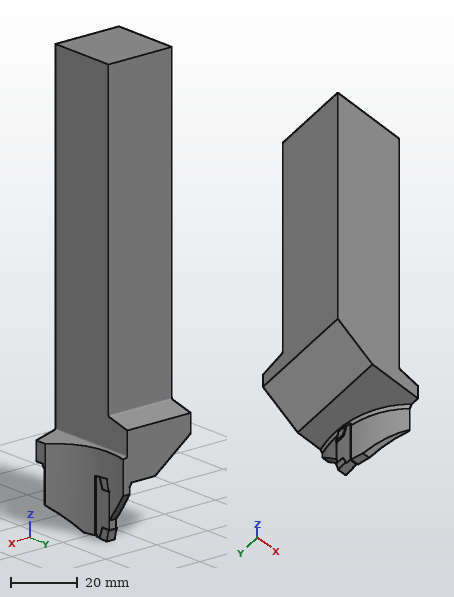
import cadquery as cq
import math

TOTAL_LENGTH = 151.4
HEAD_WIDTH = 32.5
HEAD_DEPTH = 33.5
SHANK_WIDTH = 25.0
SHANK_DEPTH = 24.7

HEAD_BOTTOM = 20.5
SIDE_LEDGE_INNER_Z = 28.9
SIDE_LEDGE_OUTER_Z = 27.1
BACK_LEDGE_INNER_Z = 39.5
BACK_LEDGE_OUTER_Z = 37.4
LEDGE_FILLET = 0.6
BEVEL_WIDTH = 14.0
BEVEL_TOP_Z = 30.9

ARC_CENTER_Y = 25.7
OUTER_RADIUS = 30.3
OUTER_APEX_X = 23.0
INNER_RADIUS = 37.8
INNER_APEX_X = 25.9
OUTER_CENTER_X = OUTER_APEX_X + OUTER_RADIUS
INNER_CENTER_X = INNER_APEX_X + INNER_RADIUS
BLADE_FRONT_Y = 3.6
FLARE_HEIGHT = 1.4
FLARE_WIDTH = 0.68

BLADE_FRONT_Z = 7.9
BLADE_BOTTOM_Z = 0.8
BLADE_BOTTOM_FRONT_Y = 15.9
CLAMP_LOW_Z = 7.0
CLAMP_BACK_Z = 17.0

INSERT_LENGTH = 20.0
INSERT_FRONT_Y = 20.0
INSERT_BACK_Y = 26.0
INSERT_BODY_X = (23.2, 25.7)
INSERT_TIP_X = (22.7, 25.9)
TIP_Y = 25.0
TIP_RELIEF = 0.3
TIP_LENGTH = 4.0
RAKE_EDGE_Y = 25.6
RAKE_LENGTH = 3.0
TIP_ROOT_Y = 22.9
TIP_FLANK_Y = 21.6
TIP_FLANK_Z = 0.6


def cylinder(radius, center_x, bottom, height):
    """Vertical cylinder centred on the line of the blade arcs."""
    return cq.Workplane("XY", origin=(center_x, ARC_CENTER_Y, bottom)).circle(radius).extrude(height)


def prism_along_x(points, x_min, x_max):
    """Prism with a (Y, Z) outline, running from x_min to x_max."""
    return cq.Workplane("YZ", origin=(x_min, 0, 0)).polyline(points).close().extrude(x_max - x_min)


def make_shank_and_head():
    side_outline = [
        (0, TOTAL_LENGTH),
        (SHANK_WIDTH, TOTAL_LENGTH),
        (SHANK_WIDTH, SIDE_LEDGE_INNER_Z),
        (HEAD_WIDTH, SIDE_LEDGE_OUTER_Z),
        (HEAD_WIDTH, HEAD_BOTTOM),
        (BEVEL_WIDTH, HEAD_BOTTOM),
        (0, BEVEL_TOP_Z),
    ]
    body = cq.Workplane("XZ").polyline(side_outline).close().extrude(-HEAD_DEPTH)
    side_corner = (SHANK_WIDTH, HEAD_DEPTH / 2, SIDE_LEDGE_INNER_Z)
    body = body.edges(cq.NearestToPointSelector(side_corner)).fillet(LEDGE_FILLET)
    above_back_ledge = [
        (SHANK_DEPTH, TOTAL_LENGTH),
        (SHANK_DEPTH, BACK_LEDGE_INNER_Z),
        (HEAD_DEPTH, BACK_LEDGE_OUTER_Z),
        (HEAD_DEPTH, TOTAL_LENGTH),
    ]
    cutter = prism_along_x(above_back_ledge, 0, HEAD_WIDTH)
    back_corner = (HEAD_WIDTH / 2, SHANK_DEPTH, BACK_LEDGE_INNER_Z)
    cutter = cutter.edges(cq.NearestToPointSelector(back_corner)).fillet(LEDGE_FILLET)
    return body.cut(cutter)


def make_blade():
    lower_outline = [
        (BLADE_FRONT_Y, HEAD_BOTTOM),
        (BLADE_FRONT_Y, BLADE_FRONT_Z),
        (BLADE_BOTTOM_FRONT_Y, BLADE_BOTTOM_Z),
        (INSERT_FRONT_Y, BLADE_BOTTOM_Z),
        (INSERT_FRONT_Y, CLAMP_LOW_Z),
        (INSERT_BACK_Y, CLAMP_LOW_Z),
        (HEAD_DEPTH, CLAMP_BACK_Z),
        (HEAD_DEPTH, HEAD_BOTTOM),
    ]
    blade = prism_along_x(lower_outline, 0, HEAD_WIDTH)
    return blade.intersect(cylinder(OUTER_RADIUS, OUTER_CENTER_X, 0, HEAD_BOTTOM))


def make_flare():
    """Sloped widening where the outer face of the blade meets the head."""
    taper = -math.degrees(math.atan2(FLARE_WIDTH, FLARE_HEIGHT))
    cone = (
        cq.Workplane("XY", origin=(OUTER_CENTER_X, ARC_CENTER_Y, HEAD_BOTTOM - FLARE_HEIGHT))
        .circle(OUTER_RADIUS)
        .extrude(FLARE_HEIGHT, taper=taper)
    )
    head_space = cq.Workplane("XY").box(HEAD_WIDTH, HEAD_DEPTH, HEAD_BOTTOM, centered=False)
    return cone.intersect(head_space)


def insert_body(x_min, x_max):
    """Main bar of the insert, symmetric about its middle height."""
    lower_outline = [
        (INSERT_FRONT_Y, TIP_RELIEF),
        (TIP_Y, 0),
        (RAKE_EDGE_Y, RAKE_LENGTH),
        (INSERT_BACK_Y, TIP_LENGTH),
    ]
    upper_outline = [(y, INSERT_LENGTH - z) for y, z in reversed(lower_outline)]
    return prism_along_x(lower_outline + upper_outline, x_min, x_max)


def make_insert():
    flank_edge_z = TIP_RELIEF * (TIP_Y - TIP_FLANK_Y) / (TIP_Y - INSERT_FRONT_Y)
    tip_outline = [
        (TIP_FLANK_Y, TIP_FLANK_Z),
        (TIP_FLANK_Y, flank_edge_z),
        (TIP_Y, 0),
        (RAKE_EDGE_Y, RAKE_LENGTH),
        (INSERT_BACK_Y, TIP_LENGTH),
        (TIP_ROOT_Y, TIP_LENGTH),
    ]
    lower_tip = prism_along_x(tip_outline, *INSERT_TIP_X)
    upper_tip = lower_tip.mirror("XY", (0, 0, INSERT_LENGTH / 2))
    return insert_body(*INSERT_BODY_X).union(lower_tip).union(upper_tip)


def make_holder():
    holder = make_shank_and_head().union(make_blade()).union(make_flare())
    inner_clearance = cylinder(INNER_RADIUS, INNER_CENTER_X, 0, TOTAL_LENGTH)
    seat = insert_body(0, HEAD_WIDTH)
    return holder.cut(inner_clearance).cut(seat)


insert = make_insert()
holder = make_holder()
result = cq.Compound.makeCompound([holder.val(), insert.val()])